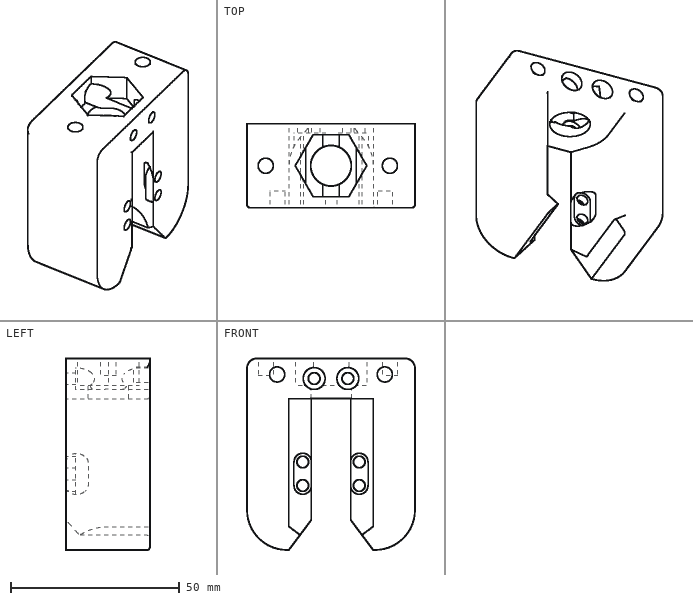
import math

import cadquery as cq


width = 50.0
depth = 25.0
height = 57.0
top_corner_radius = 3.0
bottom_corner_radius = 12.0
front_rounding = 1.0

cavity_radius = 12.5
cavity_top_z = -12.0
cavity_side_bottom_z = -50.0
back_wall_angle = 40.0

mouth_top_z = -48.0
mouth_half_width_top = 5.8
mouth_half_width_bottom = 12.55

hex_across_flats = 18.4
hex_depth = 8.0
bore_diameter = 12.0

screw_diameter = 3.4
screw_seat_y = 9.75
upper_head_diameter = 6.5
upper_screw_x = 5.0
upper_screw_z = -6.0
lower_head_diameter = 5.2
lower_screw_x = 8.4
lower_screw_z = (-30.8, -37.8)

blind_diameter = 4.5
blind_depth = 5.0
front_blind_x = 16.0
front_blind_z = -4.8
top_blind_x = (-19.4, 17.5)

front_y = -depth / 2
back_y = depth / 2
mouth_rise = mouth_top_z + height
mouth_run = mouth_half_width_bottom - mouth_half_width_top
ledge_slope = mouth_run / mouth_rise
ledge_meeting_z = cavity_side_bottom_z - cavity_radius * ledge_slope
clearance = 5.0


def front_plane(y):
    """XZ sketch plane at the given y; a positive extrusion goes toward -Y."""
    return cq.Workplane("XZ", origin=(0, y, 0))


def cylinder_along_y(diameter, x, z, y_start, y_end):
    return front_plane(y_end).center(x, z).circle(diameter / 2).extrude(y_end - y_start)


def make_body():
    """Block with large bottom rounds, softened front edges and rounded top corners."""
    block = cq.Workplane("XY").box(width, depth, height, centered=(True, True, False))
    block = block.translate((0, 0, -height))
    block = block.edges("|Y and <Z").fillet(bottom_corner_radius)
    outline = block.faces("<Y").edges("not(>Z)")
    block = outline.fillet(front_rounding)
    tall_blank = front_plane(back_y).rect(width, 2 * height).extrude(depth)
    tall_blank = tall_blank.edges("|Y").fillet(top_corner_radius)
    return block.intersect(tall_blank.translate((0, 0, -height)))


def make_mouth():
    """Trapezoidal wedge that opens the bottom, full depth."""
    bottom_z = -height - clearance
    reach = mouth_half_width_bottom + clearance * ledge_slope
    return (
        front_plane(back_y + clearance)
        .moveTo(-mouth_half_width_top, mouth_top_z)
        .lineTo(mouth_half_width_top, mouth_top_z)
        .lineTo(reach, bottom_z)
        .lineTo(-reach, bottom_z)
        .close()
        .extrude(depth + 2 * clearance)
    )


def make_cavity():
    """Plan outline with a round, tapering back, limited by the top and the sloping ledges."""
    angle = math.radians(back_wall_angle)
    tangent_x = cavity_radius * math.cos(angle)
    tangent_y = cavity_radius * math.sin(angle)
    middle_x = cavity_radius * math.cos(angle / 2)
    middle_y = cavity_radius * math.sin(angle / 2)
    tip_y = cavity_radius / math.sin(angle)
    plan = (
        cq.Workplane("XY", origin=(0, 0, -height - clearance))
        .moveTo(-cavity_radius, front_y)
        .lineTo(cavity_radius, front_y)
        .lineTo(cavity_radius, 0)
        .threePointArc((middle_x, middle_y), (tangent_x, tangent_y))
        .lineTo(0, tip_y)
        .lineTo(-tangent_x, tangent_y)
        .threePointArc((-middle_x, middle_y), (-cavity_radius, 0))
        .close()
        .extrude(height + clearance)
    )
    elevation = (
        front_plane(tip_y)
        .moveTo(-cavity_radius, cavity_top_z)
        .lineTo(cavity_radius, cavity_top_z)
        .lineTo(cavity_radius, cavity_side_bottom_z)
        .lineTo(0, ledge_meeting_z)
        .lineTo(-cavity_radius, cavity_side_bottom_z)
        .close()
        .extrude(tip_y - front_y)
    )
    return plan.intersect(elevation)


def rim_section(plane):
    """Area outside a rounding arc: plane x leads away from the cavity, plane y leads inward from the front."""
    middle = front_rounding * (1 - math.sqrt(0.5))
    return (
        cq.Workplane(plane)
        .lineTo(front_rounding, 0)
        .threePointArc((middle, middle), (0, front_rounding))
        .close()
    )


def round_cavity_rim(part):
    """Round the front edges of the cavity, turning around each corner."""
    corners = [
        cq.Vector(0, front_y, ledge_meeting_z),
        cq.Vector(cavity_radius, front_y, cavity_side_bottom_z),
        cq.Vector(cavity_radius, front_y, cavity_top_z),
        cq.Vector(-cavity_radius, front_y, cavity_top_z),
        cq.Vector(-cavity_radius, front_y, cavity_side_bottom_z),
        cq.Vector(0, front_y, ledge_meeting_z),
    ]
    inward = cq.Vector(0, 1, 0)
    for start, end in zip(corners, corners[1:]):
        along = end - start
        outward = inward.cross(along)
        plane = cq.Plane(origin=start, xDir=outward, normal=along)
        part = part.cut(rim_section(plane).extrude(along.Length))
    for corner in corners[1:-1]:
        plane = cq.Plane(origin=corner, xDir=(1, 0, 0), normal=(0, 0, 1))
        part = part.cut(rim_section(plane).revolve(360, (0, 0), (0, 1)))
    return part


def cut_nut_pocket(part):
    """Hexagonal pocket in the top face with a bore down into the cavity."""
    across_corners = hex_across_flats * 2 / math.sqrt(3)
    pocket = cq.Workplane("XY").polygon(6, across_corners).extrude(-hex_depth)
    bore = cq.Workplane("XY").circle(bore_diameter / 2).extrude(cavity_top_z)
    return part.cut(pocket).cut(bore)


def cut_upper_screws(part):
    """Two deep counterbored holes that cross the nut pocket."""
    for x in (-upper_screw_x, upper_screw_x):
        part = part.cut(cylinder_along_y(upper_head_diameter, x, upper_screw_z, front_y, screw_seat_y))
        part = part.cut(cylinder_along_y(screw_diameter, x, upper_screw_z, front_y, back_y))
    return part


def add_lower_screws(part):
    """Flat oblong seats on the tapering back walls, each with two screw holes."""
    upper_z, lower_z = lower_screw_z
    slot_length = upper_z - lower_z + lower_head_diameter
    slot_z = (upper_z + lower_z) / 2
    for x in (-lower_screw_x, lower_screw_x):
        pad = front_plane(back_y).center(x, slot_z).slot2D(slot_length, lower_head_diameter, 90)
        pad = pad.extrude(back_y - screw_seat_y)
        recess = front_plane(screw_seat_y).center(x, slot_z).slot2D(slot_length, lower_head_diameter, 90)
        recess = recess.extrude(screw_seat_y)
        part = part.union(pad).cut(recess)
        for z in lower_screw_z:
            part = part.cut(cylinder_along_y(screw_diameter, x, z, 0, back_y))
    return part


def cut_blind_holes(part):
    """Two blind holes in the front face and two in the top face."""
    for x in (-front_blind_x, front_blind_x):
        part = part.cut(cylinder_along_y(blind_diameter, x, front_blind_z, front_y, front_y + blind_depth))
    for x in top_blind_x:
        hole = cq.Workplane("XY").center(x, 0).circle(blind_diameter / 2).extrude(-blind_depth)
        part = part.cut(hole)
    return part


clamp = make_body().cut(make_mouth()).cut(make_cavity())
clamp = round_cavity_rim(clamp)
clamp = cut_nut_pocket(clamp)
clamp = cut_upper_screws(clamp)
clamp = add_lower_screws(clamp)
result = cut_blind_holes(clamp)